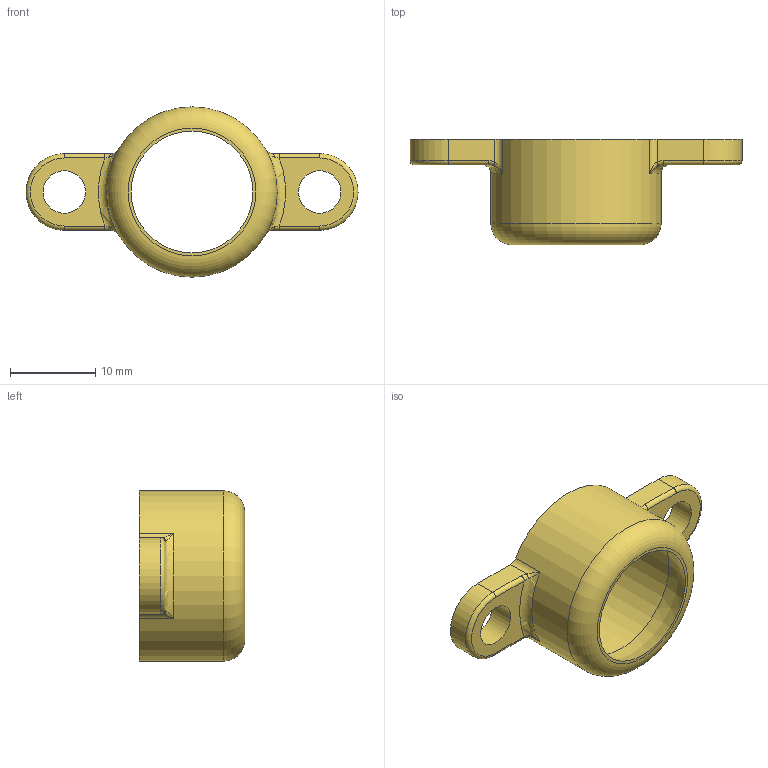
import cadquery as cq
import math

housing_radius = 10.0
housing_length = 12.39
front_round = 2.5

socket_radius = 8.0
opening_radius = 7.15
seat_depth = math.sqrt(socket_radius**2 - opening_radius**2)
bore_length = housing_length - seat_depth

lug_hole_spacing = 30.0
lug_hole_diameter = 5.0
lug_width = 9.0
lug_thickness = 3.0
lug_edge_round = 0.5
junction_fillet = 1.0

margin = 0.1


def make_housing():
    """Solid housing with a rounded front rim."""
    housing = cq.Workplane("XZ").circle(housing_radius).extrude(housing_length)
    return housing.faces("<Y").edges().fillet(front_round)


def make_lug_bar():
    """Round-ended bar through the housing whose two ends are the lugs."""
    bar_length = lug_hole_spacing + lug_width
    return cq.Workplane("XZ").slot2D(bar_length, lug_width).extrude(lug_thickness)


def fillet_junctions(body):
    """Blend the sides and front of both lugs into the housing wall."""
    half_height = lug_width / 2 + margin
    junction_edges = cq.selectors.BoxSelector(
        (-housing_radius, -lug_thickness - margin, -half_height),
        (housing_radius, -margin, half_height),
    )
    return body.edges(junction_edges).fillet(junction_fillet)


def round_lug_rims(body):
    """Round the outer front rim of both lugs, outside the junction fillets."""
    rim_start = housing_radius + junction_fillet
    rim_end = (lug_hole_spacing + lug_width) / 2
    half_height = lug_width / 2 + margin
    front_low = -lug_thickness - margin
    front_high = -lug_thickness + margin
    right_rim = cq.selectors.BoxSelector(
        (rim_start, front_low, -half_height), (rim_end, front_high, half_height)
    )
    left_rim = cq.selectors.BoxSelector(
        (-rim_end, front_low, -half_height), (-rim_start, front_high, half_height)
    )
    return body.edges(right_rim + left_rim).fillet(lug_edge_round)


def make_socket():
    """Cavity of revolution about Y: bore, spherical seat and front opening."""
    return (
        cq.Workplane("XY")
        .lineTo(socket_radius, 0)
        .lineTo(socket_radius, -bore_length)
        .radiusArc((opening_radius, -housing_length), socket_radius)
        .lineTo(0, -housing_length)
        .close()
        .revolve(360, (0, 0, 0), (0, 1, 0))
    )


def make_lug_holes():
    """Through holes at the centers of the rounded lug ends."""
    hole_x = lug_hole_spacing / 2
    return (
        cq.Workplane("XZ")
        .pushPoints([(-hole_x, 0), (hole_x, 0)])
        .circle(lug_hole_diameter / 2)
        .extrude(lug_thickness)
    )


body = make_housing().union(make_lug_bar())
body = fillet_junctions(body)
body = round_lug_rims(body)
result = body.cut(make_socket()).cut(make_lug_holes()).solids()